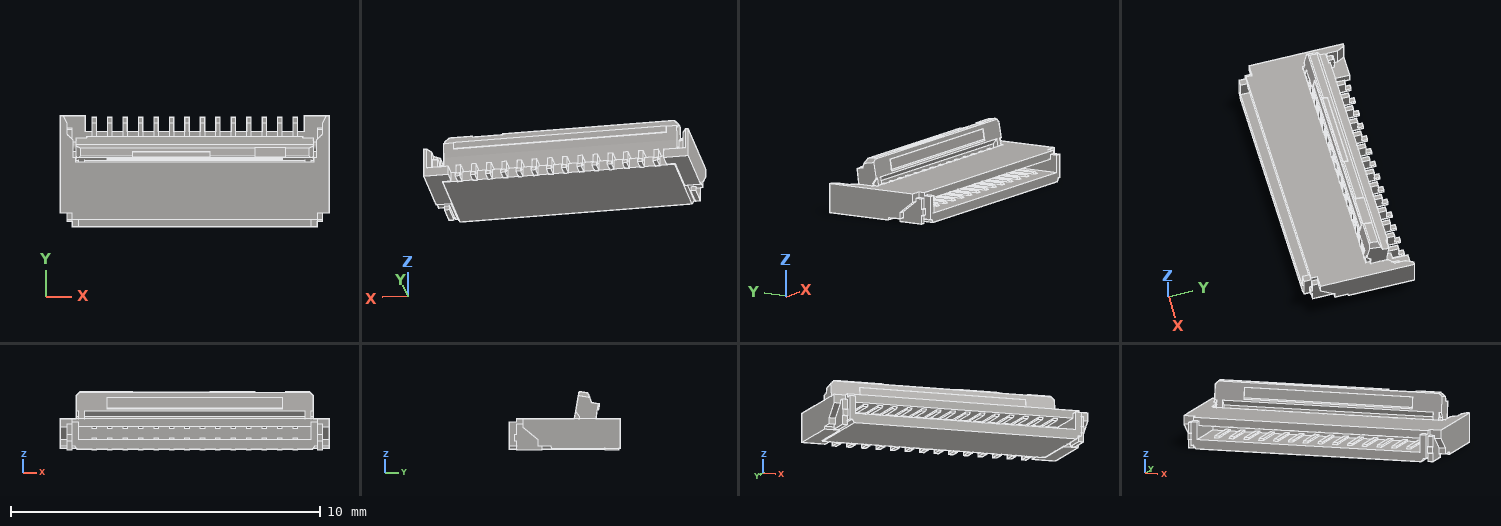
import cadquery as cq


HOUSING_WIDTH = 8.7
HOUSING_BACK = 3.6
HOUSING_TOP = 1.02
HOUSING_BOTTOM = 0.05
SHOULDER_FRONT = 0.44
ROOF_FRONT = 0.235
REAR_EDGE = 3.09
REAR_NOTCH_WIDTH = 7.08

TRAY_WIDTH = 7.935
TRAY_BOTTOM = 0.03
TRAY_SIDE_TOP = 0.91
TRAY_FOOT_TOP = 0.14
TRAY_FOOT_STEP = 0.08
TRAY_FOOT_CHAMFER = 0.08
MOUTH_WIDTH = 7.53
MOUTH_FLOOR = 0.34
MOUTH_CEILING = 0.76
MOUTH_DEPTH = 1.74

POCKET_FRONT = 2.1
POCKET_FLOOR = 0.35

PLATE_THICKNESS = 0.165
PLATE_OUTER_X = TRAY_WIDTH / 2 + PLATE_THICKNESS
PLATE_TOP = 0.835
PLATE_FRONT = 0.24
PLATE_BACK = 3.2
PLATE_FOOT_BACK = 1.06
PLATE_TAB_FRONT = 0.18
PLATE_TAB_BOTTOM = 0.29
PLATE_TAB_TOP = 0.5
PLATE_BACK_CHAMFER = 0.04

CONTACT_COUNT = 14
CONTACT_ROW = 6.5
CONTACT_PITCH = CONTACT_ROW / (CONTACT_COUNT - 1)
CONTACT_WIDTH = 0.15
CONTACT_BACK = 3.55
CONTACT_FOOT_FRONT = 3.1
CONTACT_FOOT_TOP = 0.105
CONTACT_SHANK_BACK = 3.36
CONTACT_SHANK_FRONT = 2.78
CONTACT_SHANK_BOTTOM = 0.26
CONTACT_SHANK_TOP = 0.48
CONTACT_BEAM_FRONT = 0.46
CONTACT_BEAM_RAMP = 0.09
CONTACT_BEAM_HEIGHT = 0.05
CONTACT_HOOK_FRONT = 2.175
CONTACT_HOOK_BACK = 2.39
CONTACT_HOOK_TOP = 0.975

ACTUATOR_WIDTH = 7.67
ACTUATOR_TOP = 1.9
TOP_EDGE_Y = 2.3
ACTUATOR_TILT = 10.0
ACTUATOR_CORNER = 0.14
REAR_RIB_WIDTH = 6.995
UNDERCUT_WIDTH = 7.12
END_UNDERCUT = 0.08
WINDOW_WIDTH = 5.69
CUT_OVERRUN = 0.09
LONG_RECESS_X = (-2.01, 0.5)
LONG_RECESS_BACK = 2.44
LONG_RECESS_DEPTH = 0.03
SHORT_RECESS_X = (1.95, 2.94)
SHORT_RECESS_BACK = 2.7
SHORT_RECESS_DEPTH = 0.035
PIVOT_RADIUS = 0.16
PIVOT_Y = 2.59
PIVOT_Z = 0.7
PIVOT_LENGTH = 7.88


def box(x_range, y_range, z_range):
    """Block spanning the given ranges."""
    (x0, x1), (y0, y1), (z0, z1) = x_range, y_range, z_range
    return cq.Workplane("XY").box(x1 - x0, y1 - y0, z1 - z0, centered=False).translate((x0, y0, z0))


def centered_box(width, y_range, z_range):
    """Block of the given width, symmetric about X = 0."""
    return box((-width / 2, width / 2), y_range, z_range)


def extrude_side(points, x0, x1):
    """Prism along X from a side outline of (Y, Z) points."""
    return cq.Workplane("YZ").polyline(points).close().extrude(x1 - x0).translate((x0, 0, 0))


def centered_side(points, width):
    """Prism along X from a side outline, symmetric about X = 0."""
    return extrude_side(points, -width / 2, width / 2)


def both_ends(solid):
    """The solid together with its mirror image across X = 0."""
    return solid.union(solid.mirror("YZ"))


def make_housing():
    side_outline = [
        (HOUSING_BACK, HOUSING_TOP),
        (SHOULDER_FRONT, HOUSING_TOP),
        (SHOULDER_FRONT, 0.74),
        (0.93, MOUTH_FLOOR),
        (0.93, TRAY_FOOT_TOP),
        (1.35, TRAY_FOOT_TOP),
        (1.38, HOUSING_BOTTOM),
        (HOUSING_BACK, HOUSING_BOTTOM),
    ]
    shell = centered_side(side_outline, HOUSING_WIDTH)

    half = TRAY_WIDTH / 2
    foot_x = half - TRAY_FOOT_STEP
    sole_x = foot_x - TRAY_FOOT_CHAMFER
    tray = (
        cq.Workplane("XZ")
        .polyline([
            (-half, TRAY_SIDE_TOP), (-half, TRAY_FOOT_TOP), (-foot_x, TRAY_FOOT_TOP), (-sole_x, TRAY_BOTTOM),
            (sole_x, TRAY_BOTTOM), (foot_x, TRAY_FOOT_TOP), (half, TRAY_FOOT_TOP), (half, TRAY_SIDE_TOP),
        ])
        .close()
        .extrude(-REAR_EDGE)
    )
    roof = centered_box(TRAY_WIDTH, (ROOF_FRONT, REAR_EDGE), (MOUTH_CEILING, HOUSING_TOP))
    housing = shell.union(tray).union(roof)

    mouth = centered_box(MOUTH_WIDTH, (0, MOUTH_DEPTH), (MOUTH_FLOOR, MOUTH_CEILING))
    lip_opening = centered_box(MOUTH_WIDTH, (0, ROOF_FRONT), (MOUTH_FLOOR, HOUSING_TOP))
    rear_notch = centered_box(REAR_NOTCH_WIDTH, (REAR_EDGE, HOUSING_BACK), (0, HOUSING_TOP))
    return housing.cut(mouth).cut(lip_opening).cut(make_pocket()).cut(rear_notch)


def make_pocket():
    bearing_x = PIVOT_LENGTH / 2
    right_edge = [
        (3.86, POCKET_FRONT),
        (3.86, 2.245),
        (bearing_x, 2.245),
        (bearing_x, 2.82),
        (PLATE_OUTER_X, 3.0),
        (PLATE_OUTER_X, 3.35),
        (4.25, HOUSING_BACK),
    ]
    left_edge = [(-x, y) for x, y in reversed(right_edge)]
    outline = cq.Workplane("XY").workplane(offset=POCKET_FLOOR).polyline(right_edge + left_edge).close()
    return outline.extrude(HOUSING_TOP - POCKET_FLOOR)


def make_hold_downs():
    outline = [
        (PLATE_FRONT, 0),
        (PLATE_FOOT_BACK, 0),
        (PLATE_FOOT_BACK, TRAY_FOOT_TOP),
        (PLATE_BACK, TRAY_FOOT_TOP),
        (PLATE_BACK, PLATE_TOP - PLATE_BACK_CHAMFER),
        (PLATE_BACK - PLATE_BACK_CHAMFER, PLATE_TOP),
        (PLATE_FRONT, PLATE_TOP),
        (PLATE_FRONT, PLATE_TAB_TOP),
        (PLATE_TAB_FRONT, PLATE_TAB_TOP),
        (PLATE_TAB_FRONT, PLATE_TAB_BOTTOM),
        (PLATE_FRONT, PLATE_TAB_BOTTOM),
    ]
    return both_ends(extrude_side(outline, TRAY_WIDTH / 2, PLATE_OUTER_X))


def make_beam(base_z, rise):
    """Contact beam with a ramped tip, standing off the mouth wall at base_z by rise."""
    outline = [
        (CONTACT_BEAM_FRONT, base_z),
        (CONTACT_BEAM_FRONT + CONTACT_BEAM_RAMP, base_z + rise),
        (MOUTH_DEPTH, base_z + rise),
        (MOUTH_DEPTH, base_z),
    ]
    return centered_side(outline, CONTACT_WIDTH)


def make_contact():
    """One contact centred on X = 0: solder tail, two beams in the mouth and a hook at the actuator."""
    tail_outline = [
        (CONTACT_BACK, 0),
        (CONTACT_BACK, CONTACT_FOOT_TOP),
        (CONTACT_SHANK_BACK, CONTACT_FOOT_TOP),
        (CONTACT_SHANK_BACK, CONTACT_SHANK_TOP),
        (CONTACT_SHANK_FRONT, CONTACT_SHANK_TOP),
        (CONTACT_SHANK_FRONT, CONTACT_SHANK_BOTTOM),
        (CONTACT_FOOT_FRONT, CONTACT_SHANK_BOTTOM),
        (CONTACT_FOOT_FRONT, 0),
    ]
    tail = centered_side(tail_outline, CONTACT_WIDTH)
    lower_beam = make_beam(MOUTH_FLOOR, CONTACT_BEAM_HEIGHT)
    upper_beam = make_beam(MOUTH_CEILING, -CONTACT_BEAM_HEIGHT)
    hook = centered_box(
        CONTACT_WIDTH, (CONTACT_HOOK_FRONT, CONTACT_HOOK_BACK), (POCKET_FLOOR, CONTACT_HOOK_TOP)
    )
    return tail.union(lower_beam).union(upper_beam).union(hook)


def tilt(solid):
    """Lean a solid backward about the highest edge of the actuator."""
    return solid.rotate((0, TOP_EDGE_Y, ACTUATOR_TOP), (1, TOP_EDGE_Y, ACTUATOR_TOP), -ACTUATOR_TILT)


def make_top_recess(x_range, back, depth):
    """Cutter for a recess in the leaning top edge, open to the front."""
    y_range = (TOP_EDGE_Y - CUT_OVERRUN, back)
    return tilt(box(x_range, y_range, (ACTUATOR_TOP - depth, ACTUATOR_TOP + CUT_OVERRUN)))


def make_actuator():
    outline = [
        (2.105, HOUSING_TOP),
        (2.25, 1.86),
        (TOP_EDGE_Y, ACTUATOR_TOP),
        (2.55, 1.85),
        (2.61, 1.71),
        (2.67, 1.54),
        (2.88, 1.505),
        (2.82, HOUSING_TOP),
        (2.82, POCKET_FLOOR),
        (2.22, POCKET_FLOOR),
    ]
    actuator = centered_side(outline, ACTUATOR_WIDTH)

    rear_rib = [(2.67, 1.54), (2.93, 1.5), (2.9, 1.3), (2.67, 1.3)]
    actuator = actuator.union(centered_side(rear_rib, REAR_RIB_WIDTH))

    half = ACTUATOR_WIDTH / 2
    corner = (
        cq.Workplane("XZ")
        .polyline([
            (half, ACTUATOR_TOP + CUT_OVERRUN),
            (half - ACTUATOR_CORNER, ACTUATOR_TOP + CUT_OVERRUN),
            (half - ACTUATOR_CORNER, ACTUATOR_TOP),
            (half, ACTUATOR_TOP - ACTUATOR_CORNER),
        ])
        .close()
        .extrude(-HOUSING_BACK)
    )
    actuator = actuator.cut(both_ends(tilt(corner)))

    undercut = [(2.09, 1.34), (2.28, 1.08), (2.24, POCKET_FLOOR), (2.09, POCKET_FLOOR)]
    actuator = actuator.cut(centered_side(undercut, UNDERCUT_WIDTH))
    actuator = actuator.cut(both_ends(extrude_side(undercut, half - END_UNDERCUT, half)))

    window = [(2.24, 1.705), (2.19, 1.37), (2.12, 1.28), (2.12, 1.705)]
    actuator = actuator.cut(centered_side(window, WINDOW_WIDTH))

    actuator = actuator.cut(make_top_recess(LONG_RECESS_X, LONG_RECESS_BACK, LONG_RECESS_DEPTH))
    actuator = actuator.cut(make_top_recess(SHORT_RECESS_X, SHORT_RECESS_BACK, SHORT_RECESS_DEPTH))

    pivots = (
        cq.Workplane("YZ").center(PIVOT_Y, PIVOT_Z).circle(PIVOT_RADIUS).extrude(PIVOT_LENGTH / 2, both=True)
    )
    return actuator.union(pivots)


result = make_housing().union(make_hold_downs()).union(make_actuator())
contact = make_contact()
for index in range(CONTACT_COUNT):
    contact_x = index * CONTACT_PITCH - CONTACT_ROW / 2
    result = result.union(contact.translate((contact_x, 0, 0)))